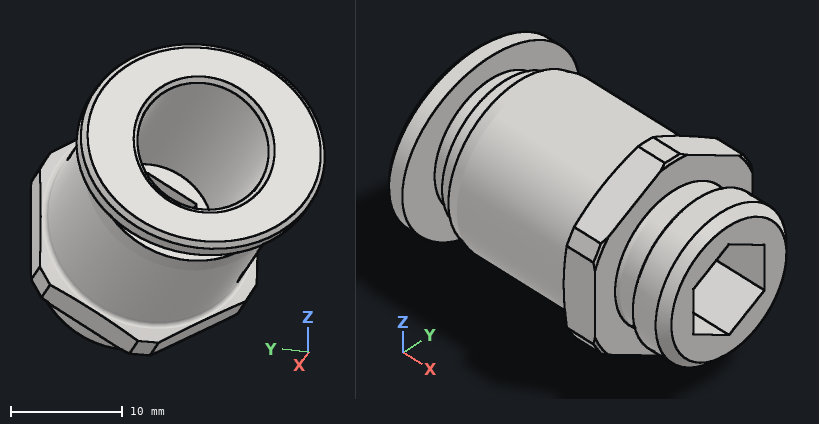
import cadquery as cq
import math


flange_width = 22.5
flange_height = 19.5
flange_thickness = 2.2
flange_chamfer = 0.5
sleeve_radius = 7.15
ring_start = 4.0
ring_radius = 8.0

body_start = 5.8
body_radius = 9.4
body_taper_length = 1.5
body_taper_depth = 0.4
shoulder_fillet = 0.5

hex_start = 21.4
hex_end = 25.4
hex_across_flats = 20.0
hex_across_corners = 22.0
hex_front_radius = body_radius + shoulder_fillet
hex_front_chamfer = 0.6
hex_back_radius = 10.7
hex_back_chamfer = 0.5

groove_radius = 7.3
groove_flare = 0.15
groove_flare_end = 25.9
groove_end = 27.85
thread_start = 28.5
thread_radius = 8.3
thread_chamfer = 1.0
total_length = 32.4

bore_radius = 6.05
bore_mouth_radius = 6.5
bore_mouth_depth = 0.45
bore_depth = 22.0
socket_across_flats = 9.0


def revolve_profile(points):
    """Solid of revolution about X from (x, radius) points, closed along the axis."""
    outline = [(points[0][0], 0), *points, (points[-1][0], 0)]
    return cq.Workplane("XY").polyline(outline).close().revolve(360, (0, 0, 0), (1, 0, 0))


def hexagon_corner_radius(across_flats):
    return across_flats / math.sqrt(3)


def hexagon_prism(across_flats, start, end, first_corner_angle):
    """Hexagonal prism along X; the corner angle is measured from +Y towards +Z."""
    corner_radius = hexagon_corner_radius(across_flats)
    angles = [math.radians(first_corner_angle + 60 * i) for i in range(6)]
    corners = [(corner_radius * math.cos(a), corner_radius * math.sin(a)) for a in angles]
    return cq.Workplane("YZ").workplane(offset=start).polyline(corners).close().extrude(end - start)


def make_flange():
    oval = cq.Workplane("YZ").ellipse(flange_width / 2, flange_height / 2).extrude(flange_thickness)
    return oval.faces("<X").edges().chamfer(flange_chamfer)


def make_turned_body():
    return revolve_profile([
        (flange_thickness / 2, sleeve_radius),
        (ring_start, sleeve_radius),
        (ring_start, ring_radius),
        (body_start, ring_radius),
        (body_start, body_radius - body_taper_depth),
        (body_start + body_taper_length, body_radius),
        (hex_end, body_radius),
        (hex_end, groove_radius + groove_flare),
        (groove_flare_end, groove_radius),
        (groove_end, groove_radius),
        (thread_start, thread_radius),
        (total_length - thread_chamfer, thread_radius),
        (total_length, thread_radius - thread_chamfer),
    ])


def make_shoulder_fillet():
    fillet_start = hex_start - shoulder_fillet
    arc_offset = shoulder_fillet * math.sqrt(0.5)
    arc_middle = (fillet_start + arc_offset, hex_front_radius - arc_offset)
    section = cq.Workplane("XY").moveTo(fillet_start, 0).lineTo(fillet_start, body_radius)
    section = section.threePointArc(arc_middle, (hex_start, hex_front_radius))
    section = section.lineTo(hex_start, 0).close()
    return section.revolve(360, (0, 0, 0), (1, 0, 0))


def make_wrench_hexagon():
    hexagon = hexagon_prism(hex_across_flats, hex_start, hex_end, 30)
    corner_trim = hexagon_prism(hex_across_corners, hex_start, hex_end, 0)
    corner_radius = hexagon_corner_radius(hex_across_flats)
    end_chamfers = revolve_profile([
        (hex_start, hex_front_radius),
        (hex_start + hex_front_chamfer, corner_radius),
        (hex_end - hex_back_chamfer, corner_radius),
        (hex_end, hex_back_radius),
    ])
    return hexagon.intersect(corner_trim).intersect(end_chamfers)


def make_tube_bore():
    return revolve_profile([
        (0, bore_mouth_radius),
        (bore_mouth_depth, bore_radius),
        (bore_depth, bore_radius),
    ])


def make_socket():
    return hexagon_prism(socket_across_flats, 0, total_length, 30)


outside = make_turned_body().union(make_flange()).union(make_shoulder_fillet()).union(make_wrench_hexagon())
result = outside.cut(make_tube_bore()).cut(make_socket())